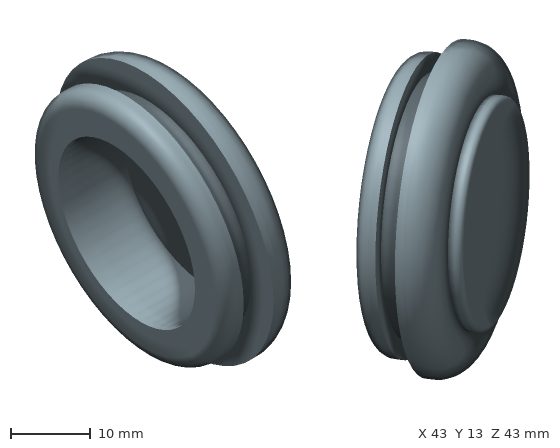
import cadquery as cq

total_depth = 13.0
rim_radius = 21.5
rim_thickness = 5.0
rim_fillet = 4.0
lip_radius = 19.5
lip_thickness = 3.0
lip_fillet = 2.0
neck_radius = 17.03
neck_length = 3.2
boss_radius = 15.0
boss_fillet = 0.75
bore_radius = 13.5
bore_depth = 10.6

front_y = -total_depth / 2
neck_y = front_y + lip_thickness
rim_y = neck_y + neck_length
boss_y = rim_y + rim_thickness
boss_height = total_depth - lip_thickness - neck_length - rim_thickness


def disc(radius, start_y, length):
    """Solid disc about the Y axis, growing toward +Y from start_y."""
    plane = cq.Workplane(cq.Plane(origin=(0, start_y, 0), xDir=(1, 0, 0), normal=(0, 1, 0)))
    return plane.circle(radius).extrude(length)


lip = disc(lip_radius, front_y, lip_thickness).faces("<Y").edges().fillet(lip_fillet)
neck = disc(neck_radius, neck_y, neck_length)
rim = disc(rim_radius, rim_y, rim_thickness).faces(">Y").edges().fillet(rim_fillet)
boss = disc(boss_radius, boss_y, boss_height).faces(">Y").edges().fillet(boss_fillet)

bore = disc(bore_radius, front_y, bore_depth)

result = lip.union(neck).union(rim).union(boss).cut(bore)